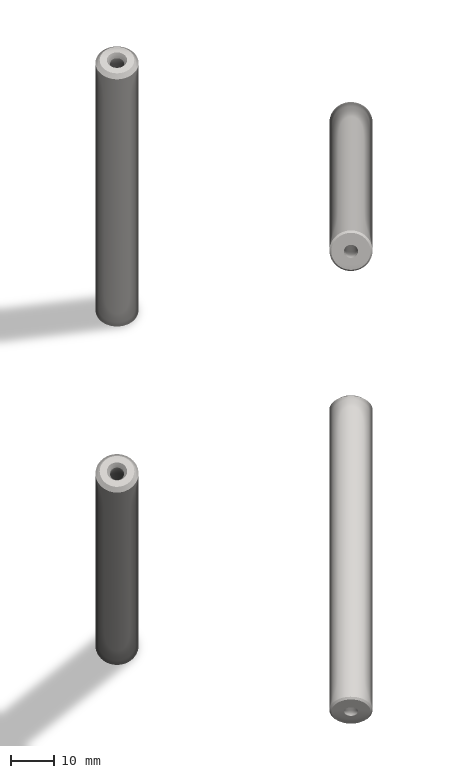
import cadquery as cq
import math

length = 90.0
outer_diameter = 10.0
top_chamfer = 1.0
bottom_chamfer = 0.45

bore_diameter = 3.2
mouth_diameter = 4.7
mouth_cone_angle = 60.0

outer_radius = outer_diameter / 2
bore_radius = bore_diameter / 2
mouth_radius = mouth_diameter / 2
mouth_depth = (mouth_radius - bore_radius) / math.tan(math.radians(mouth_cone_angle / 2))

half_section = [
    (bore_radius, 0),
    (outer_radius - bottom_chamfer, 0),
    (outer_radius, bottom_chamfer),
    (outer_radius, length - top_chamfer),
    (outer_radius - top_chamfer, length),
    (mouth_radius, length),
    (bore_radius, length - mouth_depth),
]

result = cq.Workplane("XZ").polyline(half_section).close().revolve(360, (0, 0), (0, 1))